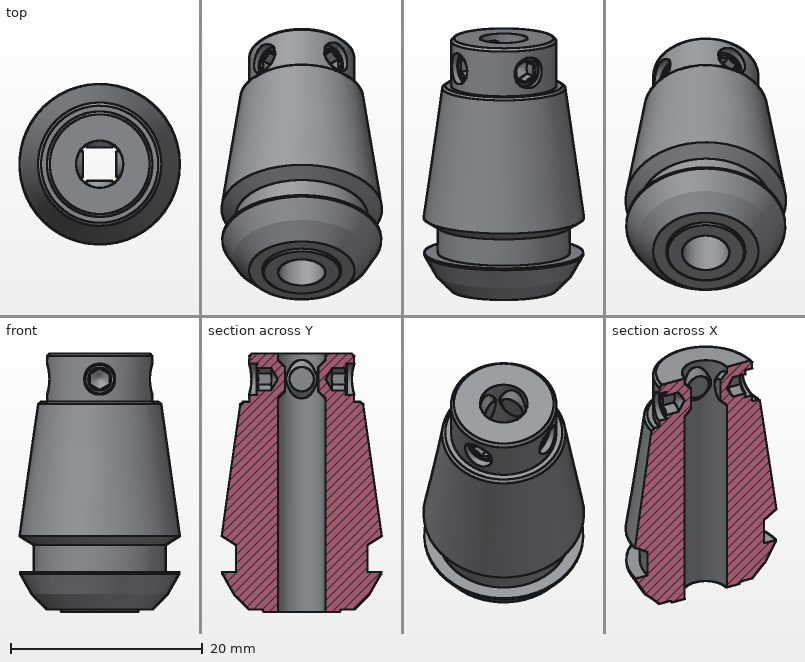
import cadquery as cq
import math

total_height = 27.0
nose_step_height = 0.25
nose_bevel_top = 1.85
rim_bottom = 4.0
rim_top = 4.2
groove_top = 7.0
cap_height = 5.05
shoulder_height = total_height - cap_height

nose_step_diameter = 8.25
nose_end_diameter = 11.0
rim_diameter = 16.6
groove_diameter = 13.8
taper_diameter = 16.76
shoulder_diameter = 12.87
cap_diameter = 11.0
bore_diameter = 4.93

nose_angle = 29.5
undercut_angle = 58.0
nose_step_bevel = 0.15
shoulder_chamfer_width = 0.33
shoulder_chamfer_height = 0.25
cap_chamfer = 0.3

screw_count = 4
screw_height = 24.3
screw_hole_diameter = 3.24
screw_diameter = 4.0
screw_length = 3.0
screw_inner_end = 1.72
screw_tip_chamfer = 0.73
screw_head_chamfer = 0.5
socket_width = 2.0
socket_mouth_diameter = 2.4
socket_depth = 1.5
socket_mouth_angle = 45.0
socket_cone_angle = 59.0
hexagon_sides = 6


def make_body():
    """Turned profile revolved about Z, with the bore running right through."""
    nose_bevel_inset = (rim_bottom - nose_bevel_top) * math.tan(math.radians(nose_angle))
    undercut_width = (taper_diameter - groove_diameter) / 2
    taper_bottom = groove_top + undercut_width / math.tan(math.radians(undercut_angle))
    bore_radius = bore_diameter / 2
    cap_radius = cap_diameter / 2
    shoulder_radius = shoulder_diameter / 2
    outline = [
        (bore_radius, 0),
        (nose_step_diameter / 2 - nose_step_bevel, 0),
        (nose_step_diameter / 2, nose_step_height),
        (nose_end_diameter / 2, nose_step_height),
        (rim_diameter / 2 - nose_bevel_inset, nose_bevel_top),
        (rim_diameter / 2, rim_bottom),
        (rim_diameter / 2, rim_top),
        (groove_diameter / 2, rim_top),
        (groove_diameter / 2, groove_top),
        (taper_diameter / 2, taper_bottom),
        (shoulder_radius, shoulder_height - shoulder_chamfer_height),
        (shoulder_radius - shoulder_chamfer_width, shoulder_height),
        (cap_radius, shoulder_height),
        (cap_radius, total_height - cap_chamfer),
        (cap_radius - cap_chamfer, total_height),
        (bore_radius, total_height),
    ]
    return cq.Workplane("XZ").polyline(outline).close().revolve(360, (0, 0), (0, 1))


def make_cone(base_diameter, angle):
    """Cone with its base on the XY plane and its point downward; angle is from the axis."""
    radius = base_diameter / 2
    depth = radius / math.tan(math.radians(angle))
    return cq.Workplane("XZ").polyline([(0, 0), (radius, 0), (0, -depth)]).close().revolve(360, (0, 0), (0, 1))


def make_socket():
    """Hexagon socket with a countersunk mouth at Z = 0 and a conical floor."""
    across_corners = socket_width / math.cos(math.pi / hexagon_sides)
    floor = make_cone(across_corners, socket_cone_angle).translate((0, 0, -socket_depth))
    hexagon = cq.Workplane("XY").polygon(hexagon_sides, across_corners).extrude(-screw_length)
    mouth = make_cone(socket_mouth_diameter, socket_mouth_angle)
    straight = cq.Workplane("XY").polygon(hexagon_sides, across_corners).extrude(-socket_depth)
    return straight.union(floor.intersect(hexagon)).union(mouth)


def make_screw():
    """Set screw along Z, its tip at Z = 0 and its socket facing +Z."""
    screw = cq.Workplane("XY").circle(screw_diameter / 2).extrude(screw_length)
    screw = screw.faces("<Z").chamfer(screw_tip_chamfer)
    screw = screw.faces(">Z").chamfer(screw_head_chamfer)
    return screw.cut(make_socket().translate((0, 0, screw_length)))


def place_radially(shape, start, angle):
    """Turn a shape built along +Z to point outward at the screw height."""
    outward = shape.rotate((0, 0, 0), (0, 1, 0), 90)
    return outward.translate((start, 0, screw_height)).rotate((0, 0, 0), (0, 0, 1), angle)


body = make_body()
hole = cq.Workplane("XY").circle(screw_hole_diameter / 2).extrude(cap_diameter / 2)
screw = make_screw()
for index in range(screw_count):
    angle = index * 360 / screw_count
    body = body.cut(place_radially(hole, 0, angle))
for index in range(screw_count):
    angle = index * 360 / screw_count
    body = body.union(place_radially(screw, screw_inner_end, angle))

result = body